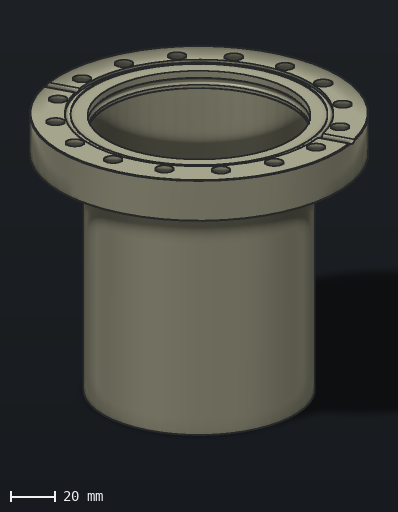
import cadquery as cq
import math

flange_diameter = 152.0
total_height = 135.0
flange_thickness = 20.0
flange_bottom = total_height - flange_thickness
rim_chamfer = 0.38

tube_outer_diameter = 104.0
tube_inner_diameter = 100.5
socket_diameter = 104.3
tube_top = total_height - 9.5

bore_diameter = 100.0
bore_groove_radius = 1.7
bore_groove_z = total_height - 6.2

recess_diameter = 120.5
knife_diameter = 115.4
knife_angle = 20.0
knife_tip_depth = 0.5
inner_face_depth = 1.0
knife_rise = (recess_diameter - knife_diameter) / 2 * math.tan(math.radians(knife_angle))
recess_depth = knife_tip_depth + knife_rise

bolt_count = 16
bolt_circle_diameter = 130.3
bolt_hole_diameter = 8.4

slot_width = 5.0
slot_depth = 1.0
slot_radius = (slot_width**2 / 4 + slot_depth**2) / (2 * slot_depth)


def make_flange_ring():
    """Turned flange with sealing face, grooved bore and tube socket."""
    return (
        cq.Workplane("XZ")
        .moveTo(socket_diameter / 2, flange_bottom)
        .lineTo(flange_diameter / 2 - rim_chamfer, flange_bottom)
        .lineTo(flange_diameter / 2, flange_bottom + rim_chamfer)
        .lineTo(flange_diameter / 2, total_height - rim_chamfer)
        .lineTo(flange_diameter / 2 - rim_chamfer, total_height)
        .lineTo(recess_diameter / 2, total_height)
        .lineTo(recess_diameter / 2, total_height - recess_depth)
        .lineTo(knife_diameter / 2, total_height - knife_tip_depth)
        .lineTo(knife_diameter / 2, total_height - inner_face_depth)
        .lineTo(bore_diameter / 2, total_height - inner_face_depth)
        .lineTo(bore_diameter / 2, bore_groove_z + bore_groove_radius)
        .threePointArc(
            (bore_diameter / 2 + bore_groove_radius, bore_groove_z),
            (bore_diameter / 2, bore_groove_z - bore_groove_radius),
        )
        .lineTo(bore_diameter / 2, tube_top)
        .lineTo(socket_diameter / 2, tube_top)
        .close()
        .revolve(360, (0, 0, 0), (0, 1, 0))
    )


def make_bolt_holes():
    """Cutters for the evenly spaced through holes."""
    half_pitch = 180 / bolt_count
    return (
        cq.Workplane("XY", origin=(0, 0, flange_bottom))
        .polarArray(bolt_circle_diameter / 2, half_pitch, 360, bolt_count)
        .circle(bolt_hole_diameter / 2)
        .extrude(flange_thickness)
    )


def make_leak_slots():
    """Cutter for both slots, kept outside the sealing recess."""
    slot_axis_z = total_height - slot_depth + slot_radius
    rod = (
        cq.Workplane("YZ", origin=(0, 0, slot_axis_z))
        .circle(slot_radius)
        .extrude(flange_diameter / 2, both=True)
    )
    recess_core = (
        cq.Workplane("XY", origin=(0, 0, flange_bottom))
        .circle(recess_diameter / 2)
        .extrude(flange_thickness + 2 * slot_radius)
    )
    return rod.cut(recess_core)


def make_flange():
    return make_flange_ring().cut(make_bolt_holes()).cut(make_leak_slots())


def make_tube():
    """Plain tube whose top end bears on the socket shoulder."""
    return (
        cq.Workplane("XY")
        .circle(tube_outer_diameter / 2)
        .circle(tube_inner_diameter / 2)
        .extrude(tube_top)
    )


flange = make_flange()
tube = make_tube()
result = cq.Compound.makeCompound([flange.solids().val(), tube.val()])